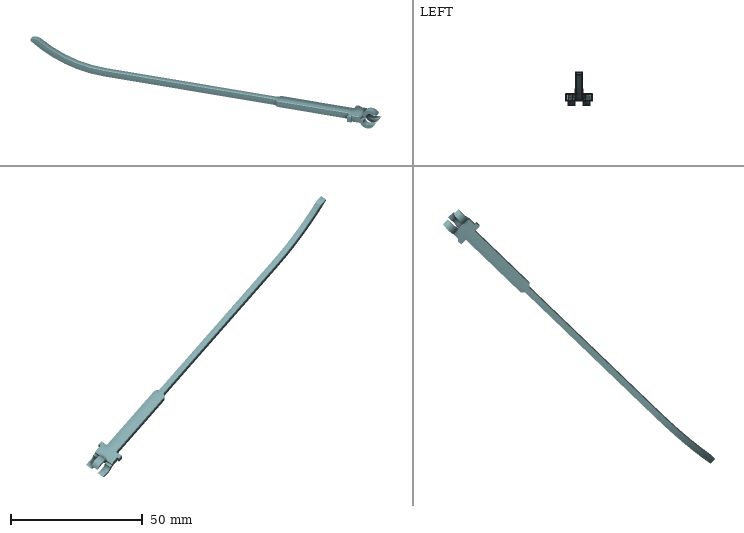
import cadquery as cq
import math

length = 140.2
thickness = 2.5
half_thickness = thickness / 2

bend_start = 29.6
bend_radius = 48.2
crown_x = 1.7
crown_height = 9.5
crown_end = 3.4
tip_end_height = 9.3

strip_width = 2.4
handle_width = 4.8
flange_width = 10.0
head_width = 8.3
handle_start = 99.1
flange_start = 129.7
flange_end = 131.3
head_end = 134.7

edge_bevel = 0.21
head_slope_length = 0.8
head_slope_drop = 0.4

clip_outer_radius = 3.1
clip_inner_radius = 1.7
clip_slot = 2.8
upper_jaw_width = 2.8
lower_jaw_gap = 3.1

clip_x = length - math.sqrt(clip_outer_radius**2 - (clip_slot / 2) ** 2)


def bend_point(radius, x):
    """Point at X on the bend arc of the given radius."""
    return (x, bend_radius - math.sqrt(radius**2 - (bend_start - x) ** 2))


def curved_tail():
    """Strip bent upwards towards X = 0, with a rounded crown on its tip."""
    lower_radius = bend_radius + half_thickness
    upper_radius = bend_radius - half_thickness
    mid_x = bend_start / 2
    return (
        cq.Workplane("XZ")
        .moveTo(bend_start, -half_thickness)
        .threePointArc(bend_point(lower_radius, mid_x), bend_point(lower_radius, 0))
        .lineTo(0, tip_end_height)
        .threePointArc((crown_x, crown_height), bend_point(upper_radius, crown_end))
        .threePointArc(bend_point(upper_radius, mid_x), (bend_start, half_thickness))
        .close()
        .extrude(strip_width / 2, both=True)
    )


def flat_body():
    """Straight strip, handle, flange and head as one flat plate."""
    taper_end = handle_start + (handle_width - strip_width) / 2
    half_outline = [
        (bend_start, strip_width / 2),
        (handle_start, strip_width / 2),
        (taper_end, handle_width / 2),
        (flange_start, handle_width / 2),
        (flange_start, flange_width / 2),
        (flange_end, flange_width / 2),
        (flange_end, head_width / 2),
        (head_end, head_width / 2),
    ]
    mirrored_outline = [(x, -y) for x, y in reversed(half_outline)]
    return (
        cq.Workplane("XY")
        .polyline(half_outline + mirrored_outline)
        .close()
        .extrude(half_thickness, both=True)
    )


def beveled_plate():
    """Tail and flat body joined, with broken top edges and a shallow slope at the head end."""
    plate = curved_tail().union(flat_body())
    plate = plate.faces("+Z").edges("not(<X or >X)").chamfer(edge_bevel)
    wedge = (
        cq.Workplane("XZ")
        .polyline(
            [
                (head_end - head_slope_length, half_thickness),
                (head_end, half_thickness),
                (head_end, half_thickness - head_slope_drop),
            ]
        )
        .close()
        .extrude(head_width / 2, both=True)
    )
    return plate.cut(wedge)


def clip_ring():
    """Full-width ring with its mouth open towards +X."""
    ring = (
        cq.Workplane("XZ")
        .center(clip_x, 0)
        .circle(clip_outer_radius)
        .circle(clip_inner_radius)
        .extrude(head_width / 2, both=True)
    )
    mouth = (
        cq.Workplane("XY")
        .box(clip_outer_radius, head_width, clip_slot, centered=(False, True, True))
        .translate((clip_x, 0, 0))
    )
    return ring.cut(mouth)


def jaw_block(width, direction):
    """Block around the clip of the given width, above (+1) or below (-1) the middle plane."""
    size = 2 * clip_outer_radius
    return cq.Workplane("XY").box(size, width, size).translate((clip_x, 0, direction * size / 2))


ring = clip_ring()
upper_jaw = ring.intersect(jaw_block(upper_jaw_width, 1))
lower_jaws = ring.intersect(jaw_block(head_width, -1)).cut(jaw_block(lower_jaw_gap, -1))

result = beveled_plate().union(upper_jaw).union(lower_jaws)